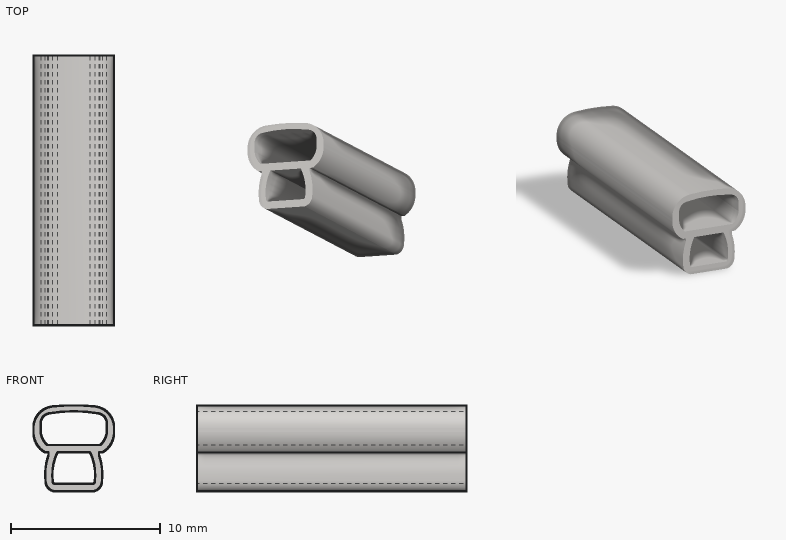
import cadquery as cq
import math

length = 18.0
height = 5.75
half_width = 2.7
wall = 0.5

crown_half_width = 1.39
crown_edge_z = 5.67
shoulder_mid = (2.27, 5.25)
side_top_z = 4.2
side_bottom_z = 3.92
lower_side_mid = (2.48, 3.15)
shelf_z = 2.6
shelf_half_width = 1.93
crown_wall = 0.41
upper_cavity_half_width = half_width - wall
cavity_crown_half_width = 1.65
cavity_crown_drop = 0.15
cavity_shoulder_mid = (2.05, 4.95)
cavity_side_top_z = 4.54
cavity_lower_side_mid = (2.07, 3.5)
upper_floor_z = shelf_z + wall
upper_floor_half_width = 1.76

neck_half_width = 1.7
neck_bottom_z = 2.41
flank_mid = (1.87, 1.7)
flank_bottom_half_width = 1.89
flank_bottom_z = 0.68
base_corner_mid = (1.71, 0.22)
base_half_width = 1.35
lower_ceiling_half_width = 1.08
lower_cavity_flank_mid = (1.37, 1.71)
lower_floor_half_width = 1.37
lower_corner_radius = 0.15
selection_margin = 0.02


def extrude_half(half_profile):
    """Mirror an open half profile about the centreline and extrude it."""
    return half_profile.mirrorY().extrude(length / 2, both=True)


def crown_arc_mid(half_span, apex_z, drop):
    """Midpoint of the arc from a level apex on the centreline to its edge, `drop` lower."""
    radius = (half_span**2 + drop**2) / (2 * drop)
    half_angle = math.asin(half_span / radius) / 2
    return radius * math.sin(half_angle), apex_z - radius * (1 - math.cos(half_angle))


def outer_body():
    arc_mid = crown_arc_mid(crown_half_width, height, height - crown_edge_z)
    half = (
        cq.Workplane("XZ")
        .moveTo(0, height)
        .threePointArc(arc_mid, (crown_half_width, crown_edge_z))
        .threePointArc(shoulder_mid, (half_width, side_top_z))
        .lineTo(half_width, side_bottom_z)
        .threePointArc(lower_side_mid, (shelf_half_width, shelf_z))
        .lineTo(neck_half_width, shelf_z)
        .lineTo(neck_half_width, neck_bottom_z)
        .threePointArc(flank_mid, (flank_bottom_half_width, flank_bottom_z))
        .threePointArc(base_corner_mid, (base_half_width, 0))
        .lineTo(0, 0)
    )
    return extrude_half(half)


def upper_cavity():
    apex_z = height - crown_wall
    arc_mid = crown_arc_mid(cavity_crown_half_width, apex_z, cavity_crown_drop)
    half = (
        cq.Workplane("XZ")
        .moveTo(0, apex_z)
        .threePointArc(arc_mid, (cavity_crown_half_width, apex_z - cavity_crown_drop))
        .threePointArc(cavity_shoulder_mid, (upper_cavity_half_width, cavity_side_top_z))
        .lineTo(upper_cavity_half_width, side_bottom_z)
        .threePointArc(cavity_lower_side_mid, (upper_floor_half_width, upper_floor_z))
        .lineTo(0, upper_floor_z)
    )
    return extrude_half(half)


def lower_cavity():
    half = (
        cq.Workplane("XZ")
        .moveTo(0, shelf_z)
        .lineTo(lower_ceiling_half_width, shelf_z)
        .threePointArc(lower_cavity_flank_mid, (lower_floor_half_width, wall))
        .lineTo(0, wall)
    )
    floor_corners = cq.selectors.BoxSelector(
        (-half_width, -length, wall - selection_margin),
        (half_width, length, wall + selection_margin),
    )
    cavity = extrude_half(half)
    return cavity.edges("|Y").edges(floor_corners).edges("<X or >X").fillet(lower_corner_radius)


result = outer_body().cut(upper_cavity()).cut(lower_cavity()).clean()